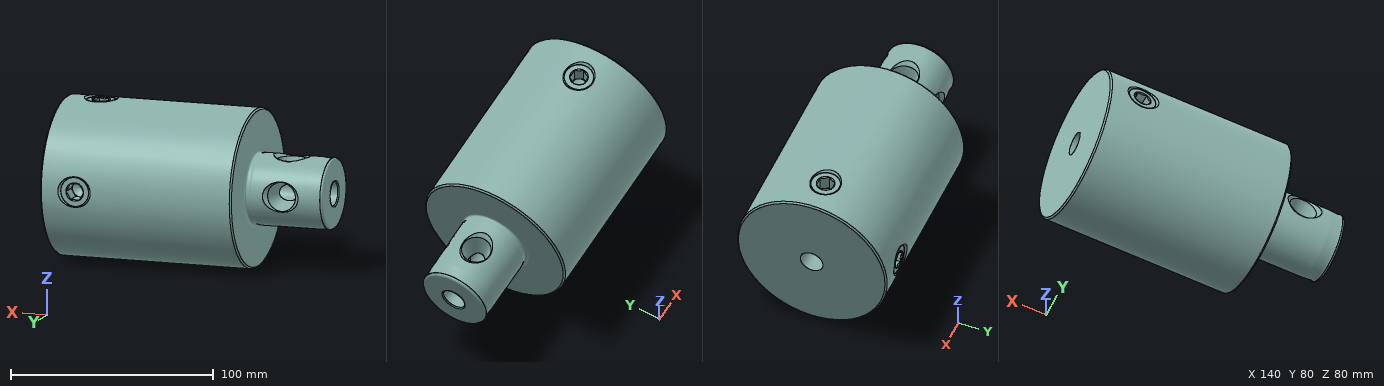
import cadquery as cq
import math

total_length = 140.0
body_diameter = 80.0
spigot_length = 40.0
spigot_diameter = 36.0
bore_diameter = 12.0
body_radius = body_diameter / 2
spigot_radius = spigot_diameter / 2
bore_radius = bore_diameter / 2
body_chamfer = 0.8
bore_chamfer = 0.5

relief_radius = 35.3 / 2
nose_fillet = 1.4
front_relief_end = 2.8
lead_in_end = 7.7
rear_taper_start = 37.4
rear_taper_length = 1.1
undercut_depth = 0.3
undercut_fillet = 0.8
undercut_rim_radius = 39.6 / 2

clamp_hole_x = 22.1
clamp_seat_radius = 14.5 / 2
clamp_seat_height = 16.0
clamp_cone_half_angle = 15.0

screw_x = 122.1
screw_diameter = 14.5
screw_radius = screw_diameter / 2
screw_length = 20.0
screw_top = 39.0
screw_seat_height = 38.8
socket_width = 8.0
socket_depth = 8.0
socket_corner_diameter = socket_width / math.cos(math.pi / 6)
socket_tip_depth = 2.2

side_angles = [0, -90]

cut_margin = 2.8


def turned_blank():
    """Body and spigot, with the relief grooves and the undercut at the shoulder."""
    shoulder_floor = spigot_length + undercut_depth
    arc_center_x = shoulder_floor - undercut_fillet
    arc_center_r = relief_radius + undercut_fillet
    fillet_diagonal = math.sqrt(0.5)
    relief_fillet = spigot_radius - relief_radius
    undercut_arc_offset = undercut_fillet * fillet_diagonal
    return (
        cq.Workplane("XY")
        .moveTo(0, 0)
        .lineTo(0, spigot_radius - nose_fillet)
        .threePointArc(
            (nose_fillet * (1 - fillet_diagonal), spigot_radius - nose_fillet * (1 - fillet_diagonal)),
            (nose_fillet, spigot_radius),
        )
        .threePointArc(
            (
                nose_fillet + relief_fillet * (1 - fillet_diagonal),
                spigot_radius - relief_fillet * fillet_diagonal,
            ),
            (nose_fillet + relief_fillet, relief_radius),
        )
        .lineTo(front_relief_end, relief_radius)
        .lineTo(lead_in_end, spigot_radius)
        .lineTo(rear_taper_start, spigot_radius)
        .lineTo(rear_taper_start + rear_taper_length, relief_radius)
        .lineTo(arc_center_x, relief_radius)
        .threePointArc(
            (arc_center_x + undercut_arc_offset, arc_center_r - undercut_arc_offset),
            (shoulder_floor, arc_center_r),
        )
        .lineTo(spigot_length, undercut_rim_radius)
        .lineTo(spigot_length, body_radius - body_chamfer)
        .lineTo(spigot_length + body_chamfer, body_radius)
        .lineTo(total_length - body_chamfer, body_radius)
        .lineTo(total_length, body_radius - body_chamfer)
        .lineTo(total_length, 0)
        .close()
        .revolve(360, (0, 0, 0), (1, 0, 0))
    )


def bore_cutter():
    """Through bore, chamfered at the spigot end."""
    return (
        cq.Workplane("XY")
        .moveTo(0, 0)
        .lineTo(0, bore_radius + bore_chamfer)
        .lineTo(bore_chamfer, bore_radius)
        .lineTo(total_length, bore_radius)
        .lineTo(total_length, 0)
        .close()
        .revolve(360, (0, 0, 0), (1, 0, 0))
    )


def clamp_hole_cutter(angle):
    """Steep cone down to the bore, with a 45 degree countersink above it."""
    cone_bottom = bore_radius / 2
    cone_height = clamp_seat_height - cone_bottom
    bottom_radius = clamp_seat_radius - cone_height * math.tan(math.radians(clamp_cone_half_angle))
    countersink_top = spigot_radius + cut_margin
    top_radius = clamp_seat_radius + countersink_top - clamp_seat_height
    return (
        cq.Workplane("XZ")
        .moveTo(0, cone_bottom)
        .lineTo(bottom_radius, cone_bottom)
        .lineTo(clamp_seat_radius, clamp_seat_height)
        .lineTo(top_radius, countersink_top)
        .lineTo(0, countersink_top)
        .close()
        .revolve(360, (0, 0, 0), (0, 1, 0))
        .translate((clamp_hole_x, 0, 0))
        .rotate((0, 0, 0), (1, 0, 0), angle)
    )


def screw_hole_cutter(angle):
    """Blind hole that fits one set screw, with a 45 degree countersink around the screw's end."""
    countersink_top = body_radius + cut_margin
    top_radius = screw_radius + countersink_top - screw_seat_height
    screw_bottom = screw_top - screw_length
    return (
        cq.Workplane("XZ")
        .moveTo(0, screw_bottom)
        .lineTo(screw_radius, screw_bottom)
        .lineTo(screw_radius, screw_seat_height)
        .lineTo(top_radius, countersink_top)
        .lineTo(0, countersink_top)
        .close()
        .revolve(360, (0, 0, 0), (0, 1, 0))
        .translate((screw_x, 0, 0))
        .rotate((0, 0, 0), (1, 0, 0), angle)
    )


def make_housing():
    housing = turned_blank().cut(bore_cutter())
    for angle in side_angles:
        housing = housing.cut(clamp_hole_cutter(angle)).cut(screw_hole_cutter(angle))
    return housing


def make_set_screw(angle):
    """Set screw with a hexagon socket, a countersunk mouth and a drilled tip."""
    shank = cq.Workplane("XY", origin=(0, 0, screw_top)).circle(screw_radius).extrude(-screw_length)
    hexagon = (
        cq.Workplane("XY", origin=(0, 0, screw_top))
        .polygon(6, socket_corner_diameter)
        .extrude(-socket_depth)
    )
    down = cq.Vector(0, 0, -1)
    mouth_radius = socket_corner_diameter / 2
    mouth = cq.Solid.makeCone(mouth_radius, 0, mouth_radius, cq.Vector(0, 0, screw_top), down)
    tip_start = cq.Vector(0, 0, screw_top - socket_depth)
    tip = cq.Solid.makeCone(socket_width / 2, 0, socket_tip_depth, tip_start, down)
    screw = shank.cut(hexagon).cut(cq.Workplane(mouth)).cut(cq.Workplane(tip))
    return screw.translate((screw_x, 0, 0)).rotate((0, 0, 0), (1, 0, 0), angle)


housing = make_housing()
set_screws = [make_set_screw(angle).val() for angle in side_angles]
result = cq.Compound.makeCompound([housing.val(), *set_screws])